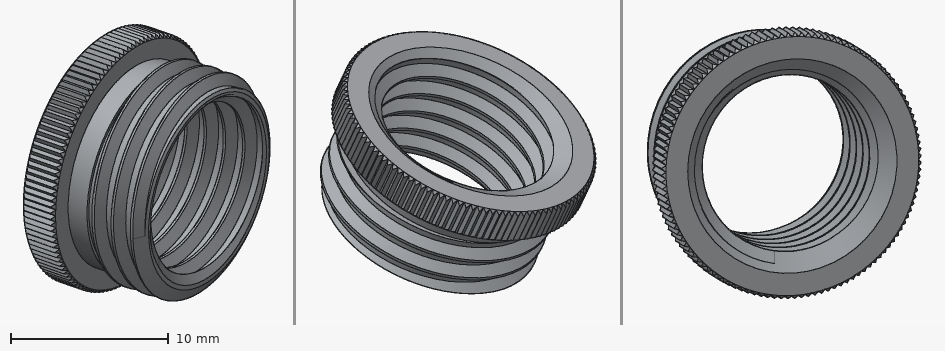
import cadquery as cq
import math

length = 8.5
flange_width = 2.52
neck_end = 4.0
neck_dia = 13.95
bore_dia = 11.26

knurl_tip_dia = 17.14
tooth_height = 0.24
tooth_count = 120

thread_major_dia = 15.01
thread_length = length - neck_end
pitch = thread_length / 3
thread_depth = 0.74
crest_flat = pitch / 8
flank_half_angle = 30.0
flank_run = math.tan(math.radians(flank_half_angle))
root_flat = pitch - crest_flat - 2 * thread_depth * flank_run
tool_overrun = 0.09

outer_groove_x = neck_end - pitch + 0.48
inner_groove_x = 0.03

end_face_dia = 13.13
countersink_dia = 13.8
end_countersink_dia = 12.51

joint_tolerance = 0.002


def cylinder(diameter, start, end):
    return cq.Workplane("YZ").workplane(offset=start).circle(diameter / 2).extrude(end - start)


def revolve_about_x(points):
    """Turn an outline of (x, radius) points about the X axis."""
    return cq.Workplane("XY").polyline(points).close().revolve(360, (0, 0), (1, 0))


def helical_groove(root_radius, outward, start, end):
    """Trapezoidal groove cutter that opens outward (outward=1) or inward (outward=-1).

    The helix begins on the -Z side at x = start and covers the length up to x = end.
    """
    mouth_radius = root_radius + outward * (thread_depth + tool_overrun)
    mouth_width = root_flat + 2 * (thread_depth + tool_overrun) * flank_run
    helix = cq.Wire.makeHelix(pitch, end - start, root_radius)
    cutter = (
        cq.Workplane("XZ")
        .polyline([
            (root_radius, -root_flat / 2),
            (root_radius, root_flat / 2),
            (mouth_radius, mouth_width / 2),
            (mouth_radius, -mouth_width / 2),
        ])
        .close()
        .sweep(cq.Workplane(helix), isFrenet=True)
    )
    return cutter.rotate((0, 0, 0), (0, 1, 0), 90).translate((start, 0, 0))


def knurled_flange():
    tip = knurl_tip_dia / 2
    root = tip - tooth_height
    half_step = math.pi / tooth_count
    outline = []
    for i in range(2 * tooth_count):
        radius = tip if i % 2 else root
        outline.append((radius * math.cos(i * half_step), radius * math.sin(i * half_step)))
    teeth = cq.Workplane("YZ").polyline(outline).close().extrude(flange_width)
    chamfered_blank = revolve_about_x([
        (0, 0),
        (0, root),
        (tooth_height, tip),
        (flange_width - tooth_height, tip),
        (flange_width, root),
        (flange_width, 0),
    ])
    return teeth.intersect(chamfered_blank)


def bored_core():
    """Everything inside the neck diameter plus the outer thread.

    The skin under the flange stays a separate face, so that the flange can be joined along it.
    """
    bore_radius = bore_dia / 2
    major_radius = thread_major_dia / 2
    outer_groove = helical_groove(major_radius - thread_depth, 1, outer_groove_x, length + pitch)
    inner_groove = helical_groove(bore_radius + thread_depth, -1, inner_groove_x - pitch, length + pitch)
    core = cylinder(neck_dia, 0, flange_width)
    core = core.union(cylinder(neck_dia, flange_width, neck_end), clean=False)
    sleeve = cylinder(thread_major_dia, neck_end, length).cut(outer_groove).intersect(end_cone())
    core = core.union(sleeve, clean=False).cut(cylinder(bore_dia, 0, length), clean=False)
    core = core.cut(inner_groove, clean=False)
    return core.cut(countersink(), clean=False).cut(end_countersink(), clean=False)


def end_cone():
    """Envelope that bevels the threaded end."""
    end_radius = end_face_dia / 2
    wide_radius = knurl_tip_dia
    return revolve_about_x([
        (0, 0),
        (0, wide_radius),
        (length - (wide_radius - end_radius) * flank_run, wide_radius),
        (length, end_radius),
        (length, 0),
    ])


def countersink():
    mouth_radius = countersink_dia / 2
    return revolve_about_x([(0, 0), (0, mouth_radius), (mouth_radius * flank_run, 0)])


def end_countersink():
    mouth_radius = end_countersink_dia / 2
    return revolve_about_x([
        (length, 0),
        (length, mouth_radius),
        (length - mouth_radius * flank_run, 0),
    ])


def faces_outside_joint(solid):
    """All faces of a solid except the cylinder where flange and core meet."""
    return [
        face
        for face in solid.faces().vals()
        if not (
            face.geomType() == "CYLINDER"
            and abs(face.Center().x - flange_width / 2) < joint_tolerance
            and abs(face.BoundingBox().zmax - neck_dia / 2) < joint_tolerance
        )
    ]


flange = knurled_flange().cut(cylinder(neck_dia, 0, flange_width))
skin = cq.Shell.makeShell(faces_outside_joint(flange) + faces_outside_joint(bored_core()))
result = cq.Workplane(cq.Solid.makeSolid(skin)).clean()